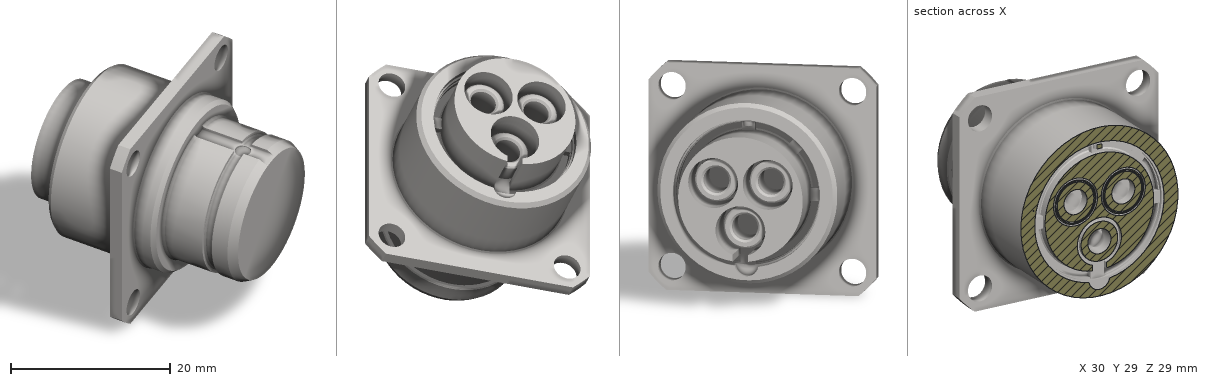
import cadquery as cq
import math

LENGTH = 30.0
SHELL_FRONT = 4.17
FLANGE_FRONT = 14.82
FLANGE_BACK = 16.53
SHELL_BACK = 19.53
GROOVE_FRONT = 25.23
GROOVE_BACK = 26.6

FLANGE_SIZE = 29.0
FLANGE_CORNER_DIAMETER = 38.0
MOUNT_HOLE_OFFSET = 11.52
MOUNT_HOLE_DIAMETER = 3.5

SHELL_RADIUS = 11.5
SHELL_CHAMFER_LENGTH = 0.57
SHELL_CHAMFER_DEPTH = 0.48
FLANGE_BLEND = 0.18

NECK_RADIUS = 9.4
NECK_BLEND_LENGTH = 0.4
NECK_BLEND_HEIGHT = 0.2
GROOVE_RADIUS = 8.75
GROOVE_FLOOR_BEVEL = 0.2
GROOVE_BACK_RIM = 0.15
NECK_CHAMFER_LENGTH = 1.17
NECK_CHAMFER_DEPTH = 0.63
KEYWAY_WIDTH = 2.05
KEYWAY_FLOOR = 8.82
KEYWAY_FILLET = 0.18
DIMPLE_DIAMETER = 2.05
DIMPLE_DEPTH = 0.25

BORE_RADIUS = 9.4
BORE_STEP_RADIUS = 9.15
BORE_INNER_RADIUS = 9.0
BORE_STEP_DEPTH = 0.85
BORE_LEDGE_DEPTH = 1.32
GAP_DEPTH = 2.05
INSERT_RADIUS = 7.95
INSERT_BASE_FLARE = 0.18

KEY_WIDTH = 1.65
KEY_FRONT = 5.4
KEY_ANGLES = (0, 45, 90, -90)
MAIN_KEY_WIDTH = 1.98
PIN_DIAMETER = 1.23
PIN_BOTTOM = 8.52
NOTCH_RADIUS = 1.5
NOTCH_CENTRE_Z = -9.0
NOTCH_DEPTH = 0.9

CONTACT_CIRCLE_RADIUS = 4.02
POCKET_RADIUS = 3.18
POCKET_DEPTH = KEY_FRONT
CONTACT_RADIUS = 2.7
CONTACT_CHAMFER = 0.2
CONTACT_BORE_RADIUS = 1.65
CONTACT_BORE_CHAMFER = 0.27
CONTACT_BORE_DEPTH = 4.2
UPPER_TIP = 1.92
LOWER_TIP = 2.85
CONTACTS = ((-90, LOWER_TIP), (30, UPPER_TIP), (150, UPPER_TIP))
COLLAR_RADIUS = 3.0
COLLAR_INNER_RADIUS = 2.8
COLLAR_LENGTH = 0.9


def revolve_profile(points):
    """Turn an outline of (x, radius) points about the X axis."""
    return cq.Workplane("XY").polyline(points).close().revolve(360, (0, 0, 0), (1, 0, 0))


def rod(x_start, x_end, radius, y=0, z=0):
    """Cylinder parallel to X."""
    length = x_end - x_start
    return cq.Workplane("YZ", origin=(x_start, y, z)).circle(radius).extrude(length)


def slab(x_start, x_end, width, z_start, z_end):
    """Block centred on Y = 0."""
    size = (x_end - x_start, width, z_end - z_start)
    return cq.Workplane("XY").box(*size, centered=(False, True, False)).translate((x_start, 0, z_start))


def make_body():
    """Turned outside of the shell and the neck."""
    shell_face = SHELL_RADIUS - SHELL_CHAMFER_DEPTH
    raised = SHELL_RADIUS + FLANGE_BLEND
    return revolve_profile([
        (SHELL_FRONT, 0),
        (SHELL_FRONT, shell_face),
        (SHELL_FRONT + SHELL_CHAMFER_LENGTH, SHELL_RADIUS),
        (FLANGE_FRONT - FLANGE_BLEND, SHELL_RADIUS),
        (FLANGE_FRONT, raised),
        (FLANGE_BACK, raised),
        (FLANGE_BACK + FLANGE_BLEND, SHELL_RADIUS),
        (SHELL_BACK - SHELL_CHAMFER_LENGTH, SHELL_RADIUS),
        (SHELL_BACK, shell_face),
        (SHELL_BACK, NECK_RADIUS + NECK_BLEND_HEIGHT),
        (SHELL_BACK + NECK_BLEND_LENGTH, NECK_RADIUS),
        (GROOVE_FRONT, NECK_RADIUS),
        (GROOVE_FRONT, GROOVE_RADIUS + GROOVE_FLOOR_BEVEL),
        (GROOVE_FRONT + GROOVE_FLOOR_BEVEL, GROOVE_RADIUS),
        (GROOVE_BACK - GROOVE_BACK_RIM, GROOVE_RADIUS),
        (GROOVE_BACK - GROOVE_BACK_RIM, NECK_RADIUS - GROOVE_BACK_RIM),
        (GROOVE_BACK, NECK_RADIUS),
        (LENGTH - NECK_CHAMFER_LENGTH, NECK_RADIUS),
        (LENGTH, NECK_RADIUS - NECK_CHAMFER_DEPTH),
        (LENGTH, 0),
    ])


def make_flange():
    """Square plate with corners rounded on one large circle and four mounting holes."""
    thickness = FLANGE_BACK - FLANGE_FRONT
    plate = cq.Workplane("YZ", origin=(FLANGE_FRONT, 0, 0)).rect(FLANGE_SIZE, FLANGE_SIZE).extrude(thickness)
    plate = plate.intersect(rod(FLANGE_FRONT, FLANGE_BACK, FLANGE_CORNER_DIAMETER / 2))
    for y in (-MOUNT_HOLE_OFFSET, MOUNT_HOLE_OFFSET):
        for z in (-MOUNT_HOLE_OFFSET, MOUNT_HOLE_OFFSET):
            plate = plate.cut(rod(FLANGE_FRONT, FLANGE_BACK, MOUNT_HOLE_DIAMETER / 2, y, z))
    return plate


def make_keyway():
    """Flat-bottomed groove along the top of the neck, with a round dimple."""
    keyway = slab(SHELL_BACK, LENGTH, KEYWAY_WIDTH, KEYWAY_FLOOR, SHELL_RADIUS)
    keyway = keyway.edges("|X and <Z").fillet(KEYWAY_FILLET)
    dimple_x = (GROOVE_FRONT + GROOVE_BACK) / 2
    dimple = (
        cq.Workplane("XY", origin=(dimple_x, 0, KEYWAY_FLOOR - DIMPLE_DEPTH))
        .circle(DIMPLE_DIAMETER / 2)
        .extrude(SHELL_RADIUS - KEYWAY_FLOOR)
    )
    return keyway.union(dimple)


def make_gap():
    """Stepped ring-shaped gap around the insert, flared outward at the insert's base."""
    step = SHELL_FRONT + BORE_STEP_DEPTH
    ledge = SHELL_FRONT + BORE_LEDGE_DEPTH
    floor = SHELL_FRONT + GAP_DEPTH
    return revolve_profile([
        (SHELL_FRONT, INSERT_RADIUS),
        (SHELL_FRONT, BORE_RADIUS),
        (step, BORE_RADIUS),
        (step, BORE_STEP_RADIUS),
        (ledge, BORE_STEP_RADIUS),
        (ledge, BORE_INNER_RADIUS),
        (floor, BORE_INNER_RADIUS),
        (floor, INSERT_RADIUS + INSERT_BASE_FLARE),
        (floor - INSERT_BASE_FLARE, INSERT_RADIUS),
    ])


def make_keys():
    """Keys standing between the shell and the insert, the top one carrying a pin."""
    floor = SHELL_FRONT + GAP_DEPTH
    inner = INSERT_RADIUS * math.cos(math.asin(KEY_WIDTH / 2 / INSERT_RADIUS))
    key = slab(KEY_FRONT, floor, KEY_WIDTH, inner, BORE_STEP_RADIUS)
    keys = slab(KEY_FRONT, floor, MAIN_KEY_WIDTH, -BORE_STEP_RADIUS, -inner)
    for angle in KEY_ANGLES:
        keys = keys.union(key.rotate((0, 0, 0), (1, 0, 0), angle))
    pin = (
        cq.Workplane("XY", origin=(KEY_FRONT, 0, PIN_BOTTOM))
        .circle(PIN_DIAMETER / 2)
        .extrude(BORE_STEP_RADIUS - PIN_BOTTOM)
    )
    return keys.union(pin)


def make_contact(tip):
    """Contact post on the X axis with a chamfered tip."""
    return revolve_profile([
        (tip, 0),
        (tip, CONTACT_RADIUS - CONTACT_CHAMFER),
        (tip + CONTACT_CHAMFER, CONTACT_RADIUS),
        (POCKET_DEPTH, CONTACT_RADIUS),
        (POCKET_DEPTH, 0),
    ])


def make_contact_bore(tip):
    """Countersunk blind bore of a contact on the X axis."""
    return revolve_profile([
        (tip, 0),
        (tip, CONTACT_BORE_RADIUS + CONTACT_BORE_CHAMFER),
        (tip + CONTACT_BORE_CHAMFER, CONTACT_BORE_RADIUS),
        (tip + CONTACT_BORE_DEPTH, CONTACT_BORE_RADIUS),
        (tip + CONTACT_BORE_DEPTH, 0),
    ])


def make_collar():
    """Short ring around an upper contact, on the floor of its pocket."""
    ring = rod(POCKET_DEPTH - COLLAR_LENGTH, POCKET_DEPTH, COLLAR_RADIUS)
    return ring.cut(rod(POCKET_DEPTH - COLLAR_LENGTH, POCKET_DEPTH, COLLAR_INNER_RADIUS))


def fit_contacts(body):
    """Pockets and contacts: one contact low, two above it."""
    body = body.cut(slab(0, POCKET_DEPTH, MAIN_KEY_WIDTH, -INSERT_RADIUS, -CONTACT_CIRCLE_RADIUS))
    for angle, tip in CONTACTS:
        y = CONTACT_CIRCLE_RADIUS * math.cos(math.radians(angle))
        z = CONTACT_CIRCLE_RADIUS * math.sin(math.radians(angle))
        body = body.cut(rod(0, POCKET_DEPTH, POCKET_RADIUS, y, z))
        body = body.union(make_contact(tip).translate((0, y, z)))
        if tip == UPPER_TIP:
            body = body.union(make_collar().translate((0, y, z)))
        body = body.cut(make_contact_bore(tip).translate((0, y, z)))
    return body


body = make_body().union(make_flange())
body = body.cut(make_keyway())
body = body.cut(make_gap())
body = body.cut(rod(SHELL_FRONT, SHELL_FRONT + NOTCH_DEPTH, NOTCH_RADIUS, z=NOTCH_CENTRE_Z))
body = body.union(rod(0, SHELL_FRONT + GAP_DEPTH, INSERT_RADIUS))
body = body.union(make_keys())
result = fit_contacts(body)